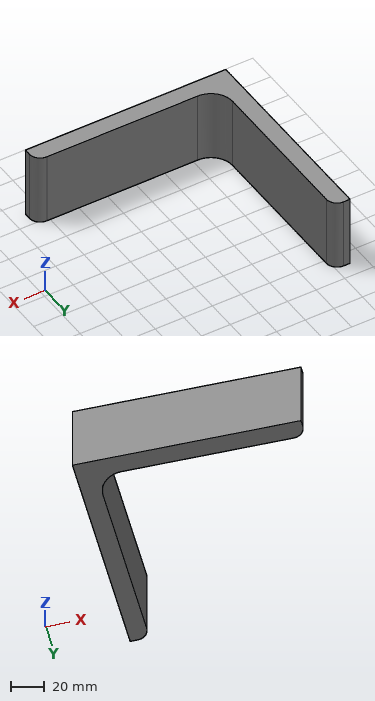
import cadquery as cq

leg_length = 140.0
leg_thickness = 12.0
section_height = 50.0
root_radius = 15.0
toe_radius = root_radius / 2

outline = [
    (0, 0),
    (leg_length, 0),
    (leg_length, leg_thickness),
    (leg_thickness, leg_thickness),
    (leg_thickness, leg_length),
    (0, leg_length),
]
angle = cq.Workplane("XY").polyline(outline).close().extrude(section_height)


def round_upright_edge(body, x, y, radius):
    """Fillet the vertical edge standing at (x, y)."""
    edge_middle = (x, y, section_height / 2)
    return body.edges(cq.selectors.NearestToPointSelector(edge_middle)).fillet(radius)


angle = round_upright_edge(angle, leg_thickness, leg_thickness, root_radius)

for toe_x, toe_y in [(leg_length, leg_thickness), (leg_thickness, leg_length)]:
    angle = round_upright_edge(angle, toe_x, toe_y, toe_radius)

result = angle